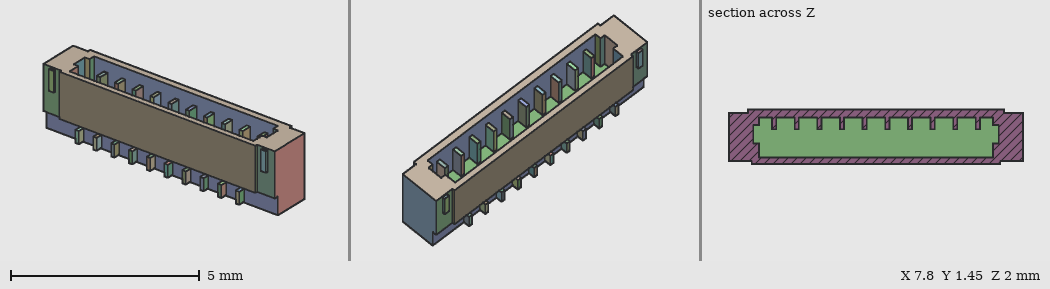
import cadquery as cq

length = 7.8
width = 1.45
height = 2.0
end_rear_setback = 0.09
end_rear_length = 0.5
end_front_setback = 0.08
end_front_length = 0.6

undercut_height = 0.57
undercut_depth = 0.21

cavity_end_wall = 0.8
cavity_rear_wall = 0.22
cavity_front_wall = 0.18
cavity_depth = 1.2
cavity_floor = height - cavity_depth
notch_end_wall = 0.65
notch_rear = 0.41
notch_front = 0.9

contact_count = 10
contact_pitch = 0.6
contact_thickness = 0.12
blade_depth = 0.31
blade_drop = 0.34
tail_bottom = 0.02
tail_height = 0.4

rib_width = 0.16
rib_offset = 0.24
rib_height = 0.655
rib_drop = 0.05


def box_between(x_range, y_range, z_range):
    """Axis-aligned block spanning the given (low, high) ranges."""
    spans = [high - low for low, high in (x_range, y_range, z_range)]
    corner = (x_range[0], y_range[0], z_range[0])
    return cq.Workplane("XY").box(*spans, centered=False).translate(corner)


def centred(total):
    """Range of the given total size, centred on zero."""
    return (-total / 2, total / 2)


def make_housing():
    full_height = (0, height)
    ends = box_between(centred(length), (-width + end_front_setback, -end_rear_setback), full_height)
    rear = box_between(centred(length - 2 * end_rear_length), (-width / 2, 0), full_height)
    front = box_between(centred(length - 2 * end_front_length), (-width, -width / 2), full_height)
    undercut = box_between(centred(length), (-width, -width + undercut_depth), (0, undercut_height))
    return ends.union(rear).union(front).cut(undercut)


def make_cavity():
    z_range = (cavity_floor, height)
    main = box_between(
        centred(length - 2 * cavity_end_wall), (-width + cavity_front_wall, -cavity_rear_wall), z_range
    )
    notches = box_between(centred(length - 2 * notch_end_wall), (-notch_front, -notch_rear), z_range)
    return main.union(notches)


def make_contact(x):
    """Blade against the rear cavity wall plus a solder tail under the front face."""
    x_range = (x - contact_thickness / 2, x + contact_thickness / 2)
    blade = box_between(
        x_range, (-cavity_rear_wall - blade_depth, -cavity_rear_wall), (cavity_floor, height - blade_drop)
    )
    tail = box_between(
        x_range, (-width, -width + undercut_depth), (tail_bottom, tail_bottom + tail_height)
    )
    return blade.union(tail)


def make_rib(side):
    x_centre = side * (length / 2 - rib_offset - rib_width / 2)
    top = height - rib_drop
    return box_between(
        (x_centre - rib_width / 2, x_centre + rib_width / 2),
        (-width, -width + end_front_setback),
        (top - rib_height, top),
    )


result = make_housing().cut(make_cavity())

for index in range(contact_count):
    contact_x = (index - (contact_count - 1) / 2) * contact_pitch
    result = result.union(make_contact(contact_x))

for side in (-1, 1):
    result = result.union(make_rib(side))